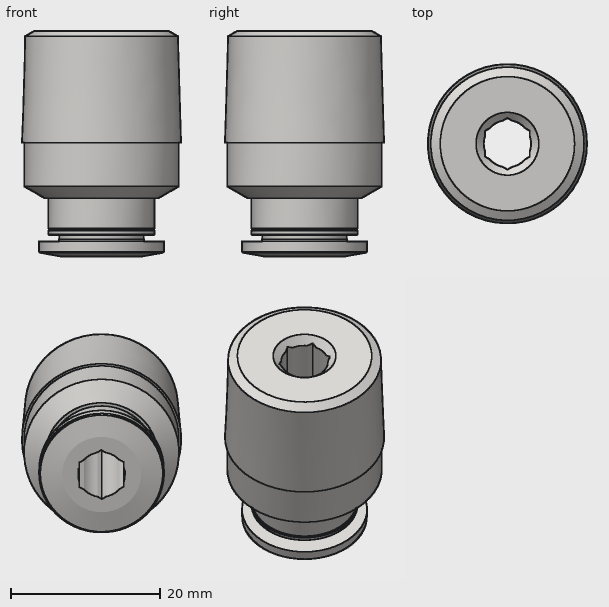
import cadquery as cq
import math

overall_height = 30.3
bottom_cone_height = 0.5
flange_chamfer_top = 0.7
flange_top = 2.05
neck_step = 2.35
collar_bottom = 2.9
groove_bottom = 3.48
groove_top = 3.7
stem_top = 7.82
sleeve_bottom = 15.3
sleeve_top = 29.57

bottom_face_radius = 5.3
flange_radius = 16.8 / 2
flange_chamfer = 0.18
neck_radius = 11.4 / 2
neck_foot_radius = 5.73
stem_radius = 14.3 / 2
collar_chamfer = 0.12
groove_depth = 0.1
body_radius = 20.8 / 2
body_bottom_radius = 7.6
sleeve_bottom_radius = 21.4 / 2
sleeve_top_radius = 10.27

cone_slope = math.tan(math.radians(30))
top_face_radius = sleeve_top_radius - (overall_height - sleeve_top) / cone_slope
body_bottom = stem_top + (body_radius - body_bottom_radius) * cone_slope

hex_across_flats = 5.97
socket_radius = 3.15
countersink_radius = 4.2


def turned_body():
    return (
        cq.Workplane("XZ")
        .moveTo(0, 0)
        .lineTo(bottom_face_radius, 0)
        .lineTo(flange_radius - flange_chamfer, bottom_cone_height)
        .lineTo(flange_radius, flange_chamfer_top)
        .lineTo(flange_radius, flange_top)
        .lineTo(neck_foot_radius, flange_top)
        .lineTo(neck_foot_radius, neck_step)
        .lineTo(neck_radius, neck_step)
        .lineTo(neck_radius, collar_bottom)
        .lineTo(stem_radius - collar_chamfer, collar_bottom)
        .lineTo(stem_radius, collar_bottom + collar_chamfer)
        .lineTo(stem_radius, groove_bottom)
        .lineTo(stem_radius - groove_depth, groove_bottom)
        .lineTo(stem_radius - groove_depth, groove_top)
        .lineTo(stem_radius, groove_top + groove_depth)
        .lineTo(stem_radius, stem_top)
        .lineTo(body_bottom_radius, stem_top)
        .lineTo(body_radius, body_bottom)
        .lineTo(body_radius, sleeve_bottom)
        .lineTo(sleeve_bottom_radius, sleeve_bottom)
        .lineTo(sleeve_top_radius, sleeve_top)
        .lineTo(top_face_radius, overall_height)
        .lineTo(0, overall_height)
        .close()
        .revolve(360, (0, 0, 0), (0, 1, 0))
    )


def socket():
    hex_across_corners = hex_across_flats / math.cos(math.radians(30))
    hexagon = (
        cq.Workplane("XY")
        .transformed(rotate=(0, 0, 90))
        .polygon(6, hex_across_corners)
        .extrude(overall_height)
    )
    bore = cq.Workplane("XY").circle(socket_radius).extrude(overall_height)
    return hexagon.union(bore)


def countersink():
    return (
        cq.Workplane("XZ")
        .moveTo(0, overall_height - countersink_radius)
        .lineTo(countersink_radius, overall_height)
        .lineTo(0, overall_height)
        .close()
        .revolve(360, (0, 0, 0), (0, 1, 0))
    )


result = turned_body().cut(socket()).cut(countersink())